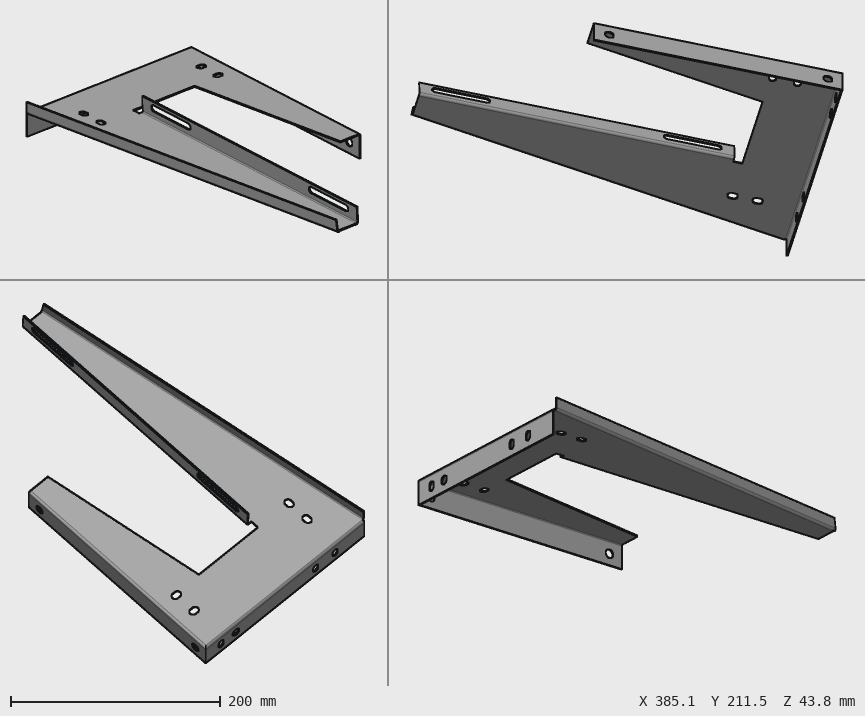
import cadquery as cq

import math


THICKNESS = 1.5
BEND_OUTER_RADIUS = 2.5
BEND_INNER_RADIUS = BEND_OUTER_RADIUS - THICKNESS

OVERALL_LENGTH = 385.06
OVERALL_DEPTH = 211.48
OVERALL_HEIGHT = 43.78
PLATE_TOP = 26.7
PLATE_BOTTOM = PLATE_TOP - THICKNESS
FRONT_FLANGE_HEIGHT = 12.9

TAPER_ANGLE = math.radians(8.75)
SHORT_LEG_LENGTH = 244.5
SHORT_LEG_TIP_DEPTH = 25.4
LONG_LEG_LENGTH = 384.0
WEB_WIDTH = 65.0
NOTCH_WIDTH = 9.0
NOTCH_DEPTH = 130.7

INNER_FLANGE_START = WEB_WIDTH + NOTCH_WIDTH
INNER_FLANGE_DEPTH = 125.0
INNER_FLANGE_LEAN = math.radians(3.0)
INNER_BEND_DEPTH = INNER_FLANGE_DEPTH + BEND_OUTER_RADIUS
LONG_SLOT_LENGTH = 57.0
LONG_SLOT_WIDTH = 7.0
LONG_SLOT_INSET = 41.0
LONG_SLOT_LEVEL = 36.5

FRONT_BEND_START_DEPTH = OVERALL_DEPTH - BEND_OUTER_RADIUS * math.cos(TAPER_ANGLE)
FRONT_END_BULGE = BEND_OUTER_RADIUS * math.sin(TAPER_ANGLE) * (math.sqrt(2) - 1)
FRONT_BEND_END_X = OVERALL_LENGTH - FRONT_END_BULGE

SLOT_LENGTH = 10.0
SLOT_WIDTH = 7.0
ROUND_HOLE_DIAMETER = 9.0
BACK_PLATE_SLOT_POSITIONS_X = (38.5, 63.0)
BACK_PLATE_SLOT_DEPTH = 21.5
FRONT_PLATE_SLOT_POSITIONS_X = (39.5, 64.2)
FRONT_PLATE_SLOT_DEPTH = 171.0
LEFT_SLOT_CENTERS = ((-20.5, 12.5), (-145.0, 12.0), (-170.5, 12.0))
LEFT_ROUND_HOLE_DEPTH = 40.0
LEFT_ROUND_HOLE_LEVEL = 12.0
BACK_HOLE_LEVEL = 12.0
BACK_HOLE_POSITIONS_X = (14.5, 229.5)


def front_bend_depth(x):
    """Depth of the front bend line at a given X."""
    return FRONT_BEND_START_DEPTH - (x - BEND_OUTER_RADIUS) * math.tan(TAPER_ANGLE)


def short_leg_depth(x):
    """Depth of the tapered edge of the short leg at a given X."""
    return SHORT_LEG_TIP_DEPTH + (SHORT_LEG_LENGTH - x) * math.tan(TAPER_ANGLE)


def corner_block(inset, radius):
    """Block reaching the left, back and top faces less an inset, rounded along the two bends."""
    block = cq.Workplane("XY").box(OVERALL_LENGTH, OVERALL_DEPTH, PLATE_TOP, centered=False)
    block = block.translate((inset, -OVERALL_DEPTH - inset, -inset))
    return block.edges("(>Z and <X) or (>Z and >Y)").fillet(radius)


def plate_with_down_flanges():
    """Plate with the left and back flanges, trimmed to the C-shaped outline."""
    outline = [
        (0, 0),
        (SHORT_LEG_LENGTH, 0),
        (SHORT_LEG_LENGTH, -SHORT_LEG_TIP_DEPTH),
        (WEB_WIDTH, -short_leg_depth(WEB_WIDTH)),
        (WEB_WIDTH, -NOTCH_DEPTH),
        (INNER_FLANGE_START, -NOTCH_DEPTH),
        (INNER_FLANGE_START, -INNER_BEND_DEPTH),
        (LONG_LEG_LENGTH, -INNER_BEND_DEPTH),
        (LONG_LEG_LENGTH, -front_bend_depth(LONG_LEG_LENGTH)),
        (BEND_OUTER_RADIUS, -FRONT_BEND_START_DEPTH),
        (0, -FRONT_BEND_START_DEPTH),
    ]
    shell = corner_block(0, BEND_OUTER_RADIUS).cut(corner_block(THICKNESS, BEND_INNER_RADIUS))
    return shell.intersect(cq.Workplane("XY").polyline(outline).close().extrude(PLATE_TOP))


def up_flange(bend_end, outward, length, height, lean):
    """Upward flange swept from one end of its bend line, along outward x Z.

    The height runs from the plate bottom to the outer top edge; lean tips the top back over the plate.
    """
    plane = cq.Plane(origin=bend_end, xDir=outward, normal=outward.cross(cq.Vector(0, 0, 1)))

    def on_bend(radius, angle):
        return (radius * math.sin(angle), BEND_OUTER_RADIUS - radius * math.cos(angle))

    bend_angle = math.pi / 2 + lean
    outer_end = on_bend(BEND_OUTER_RADIUS, bend_angle)
    inner_end = on_bend(BEND_INNER_RADIUS, bend_angle)
    straight = (height - outer_end[1]) / math.cos(lean)
    rise = (-straight * math.sin(lean), straight * math.cos(lean))
    return (
        cq.Workplane(plane)
        .moveTo(0, 0)
        .threePointArc(on_bend(BEND_OUTER_RADIUS, bend_angle / 2), outer_end)
        .line(*rise)
        .lineTo(inner_end[0] + rise[0], inner_end[1] + rise[1])
        .lineTo(*inner_end)
        .threePointArc(on_bend(BEND_INNER_RADIUS, bend_angle / 2), (0, THICKNESS))
        .close()
        .extrude(length)
    )


def inner_flange():
    """Leaning flange along the inner edge of the long leg, with a long slot near each end."""
    length = LONG_LEG_LENGTH - INNER_FLANGE_START
    bend_end = cq.Vector(INNER_FLANGE_START, -INNER_BEND_DEPTH, PLATE_BOTTOM)
    height = OVERALL_HEIGHT - PLATE_BOTTOM
    flange = up_flange(bend_end, cq.Vector(0, 1, 0), length, height, INNER_FLANGE_LEAN)
    slot_positions = (INNER_FLANGE_START + LONG_SLOT_INSET, LONG_LEG_LENGTH - LONG_SLOT_INSET)
    slots = (
        cq.Workplane("XZ", origin=(0, -INNER_FLANGE_DEPTH, 0))
        .pushPoints([(x, LONG_SLOT_LEVEL) for x in slot_positions])
        .slot2D(LONG_SLOT_LENGTH, LONG_SLOT_WIDTH)
        .extrude(2 * BEND_OUTER_RADIUS, both=True)
    )
    return flange.cut(slots)


def front_flange():
    """Upright flange along the tapered front edge, its free end sloping back towards the top."""
    along = cq.Vector(math.cos(TAPER_ANGLE), math.sin(TAPER_ANGLE), 0)
    outward = cq.Vector(math.sin(TAPER_ANGLE), -math.cos(TAPER_ANGLE), 0)
    length = (FRONT_BEND_END_X - BEND_OUTER_RADIUS) / math.cos(TAPER_ANGLE)
    tip = cq.Vector(FRONT_BEND_END_X, -front_bend_depth(FRONT_BEND_END_X), PLATE_BOTTOM)
    flange = up_flange(tip, outward, length, FRONT_FLANGE_HEIGHT, 0)
    setback = FRONT_FLANGE_HEIGHT * math.tan(TAPER_ANGLE)
    end_cut = (
        cq.Workplane(cq.Plane(origin=tip, xDir=along, normal=outward))
        .polyline([(0, 0), (0, FRONT_FLANGE_HEIGHT), (-setback, FRONT_FLANGE_HEIGHT)])
        .close()
        .extrude(BEND_OUTER_RADIUS)
    )
    return flange.cut(end_cut)


def slots_through_sheet(plane, centers, angle):
    """Cutters for equal slots at the given centers, one sheet thickness deep."""
    slots = cq.Workplane(plane).pushPoints(centers)
    return slots.slot2D(SLOT_LENGTH, SLOT_WIDTH, angle).extrude(THICKNESS)


def plate_slots():
    """Slots through the plate: the back pair runs along Y, the front pair along X."""
    plane = cq.Plane.XY(origin=(0, 0, PLATE_BOTTOM))
    back_centers = [(x, -BACK_PLATE_SLOT_DEPTH) for x in BACK_PLATE_SLOT_POSITIONS_X]
    front_centers = [(x, -FRONT_PLATE_SLOT_DEPTH) for x in FRONT_PLATE_SLOT_POSITIONS_X]
    back_slots = slots_through_sheet(plane, back_centers, 90)
    front_slots = slots_through_sheet(plane, front_centers, 0)
    return back_slots.union(front_slots)


def left_flange_holes():
    """Upright slots and one round hole through the left flange."""
    slots = slots_through_sheet(cq.Plane.YZ(), LEFT_SLOT_CENTERS, 90)
    round_hole = (
        cq.Workplane("YZ")
        .center(-LEFT_ROUND_HOLE_DEPTH, LEFT_ROUND_HOLE_LEVEL)
        .circle(ROUND_HOLE_DIAMETER / 2)
        .extrude(THICKNESS)
    )
    return slots.union(round_hole)


def back_flange_holes():
    """Round hole near each end of the back flange."""
    return (
        cq.Workplane("XZ")
        .pushPoints([(x, BACK_HOLE_LEVEL) for x in BACK_HOLE_POSITIONS_X])
        .circle(ROUND_HOLE_DIAMETER / 2)
        .extrude(THICKNESS)
    )


folded_sheet = plate_with_down_flanges().union(inner_flange()).union(front_flange())
result = folded_sheet.cut(plate_slots()).cut(left_flange_holes()).cut(back_flange_holes())